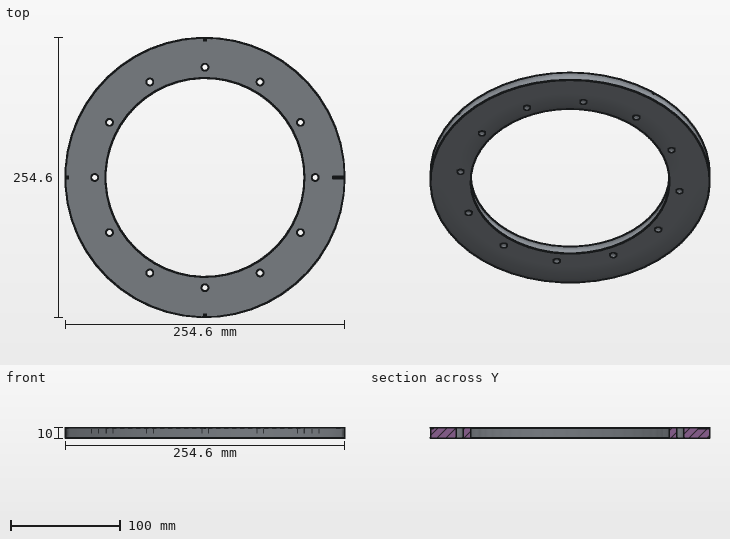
import cadquery as cq

outer_diameter = 254.6
inner_diameter = 180.5
thickness = 10.0
edge_chamfer = 0.5

hole_count = 12
hole_diameter = 6.0
hole_circle_diameter = 200.7

mark_width = 2.3
mark_depth = 0.8
rim_gap = 1.0
short_mark_length = 1.8
long_mark_length = 10.2
short_mark_angles = (90, 180, 270)
long_mark_angle = 0

outer_radius = outer_diameter / 2
mark_outer_end = outer_radius - rim_gap


def make_ring():
    """Flat ring, chamfered at both ends of the bore and around the bottom rim."""
    ring = cq.Workplane("XY").circle(outer_radius).extrude(thickness)
    bore = cq.Workplane("XY").circle(inner_diameter / 2).extrude(thickness)
    ring = ring.cut(bore).faces("<Z").edges().chamfer(edge_chamfer)
    return ring.faces(">Z").edges(cq.selectors.RadiusNthSelector(0)).chamfer(edge_chamfer)


def make_holes():
    """Through holes evenly spaced on the hole circle."""
    return (
        cq.Workplane("XY")
        .polarArray(hole_circle_diameter / 2, 0, 360, hole_count)
        .circle(hole_diameter / 2)
        .extrude(thickness)
    )


def make_groove(length):
    """V groove along X with flat ends, its outer end near the rim."""
    half_width = mark_width / 2
    return (
        cq.Workplane("YZ", origin=(mark_outer_end - length, 0, thickness))
        .polyline([(-half_width, 0), (half_width, 0), (0, -mark_depth)])
        .close()
        .extrude(length)
    )


def make_long_mark():
    """V groove whose inner end is rounded by a cone."""
    straight_length = long_mark_length - mark_width / 2
    cone_tip = cq.Vector(mark_outer_end - straight_length, 0, thickness - mark_depth)
    cone = cq.Solid.makeCone(0, mark_width / 2, mark_depth, pnt=cone_tip)
    return make_groove(straight_length).union(cq.Workplane(cone))


def place_mark(mark, angle):
    """Turn a mark about the ring axis."""
    return mark.rotate((0, 0, 0), (0, 0, 1), angle)


result = make_ring().cut(make_holes())
result = result.cut(place_mark(make_long_mark(), long_mark_angle))
for mark_angle in short_mark_angles:
    result = result.cut(place_mark(make_groove(short_mark_length), mark_angle))